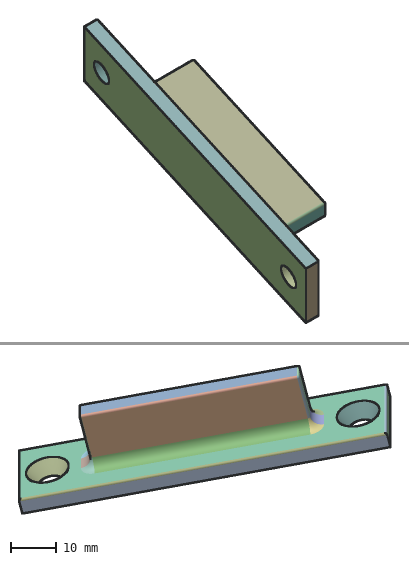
import cadquery as cq
import math

plate_length = 83.4
plate_height = 19.8
plate_thickness = 3.75

total_depth = 17.8
tongue_length = 49.9
tongue_thickness = 4.75

hole_diameter = 5.7
hole_back_diameter = 9.7
hole_spacing = 70.4

edge_radius = 0.5
root_radius = 2.6


def centred_block(length, depth, height):
    """Block centred in X and Z that starts at Y = 0 and extends along +Y."""
    return cq.Workplane("XY").box(length, depth, height, centered=(True, False, True))


def make_plate():
    """Plate with the rim of its tongue-side face rounded."""
    plate = centred_block(plate_length, plate_thickness, plate_height)
    return plate.faces(">Y").edges().fillet(edge_radius)


def make_tongue():
    """Tongue with its four long corners and its free end rounded."""
    tongue = centred_block(tongue_length, total_depth, tongue_thickness)
    return tongue.edges("|Y or >Y").fillet(edge_radius)


def blend_root(body):
    """Round the inner corner all the way around the foot of the tongue."""
    margin = edge_radius / 2
    foot_region = cq.selectors.BoxSelector(
        (-tongue_length / 2 - margin, plate_thickness - margin, -tongue_thickness / 2 - margin),
        (tongue_length / 2 + margin, plate_thickness + margin, tongue_thickness / 2 + margin),
    )
    return body.edges(foot_region).fillet(root_radius)


def make_holes():
    """Two tapered through-hole cutters, one near each end, widening toward the tongue side."""
    hole_centres = [(-hole_spacing / 2, 0), (hole_spacing / 2, 0)]
    taper_angle = math.degrees(math.atan2((hole_back_diameter - hole_diameter) / 2, plate_thickness))
    return (
        cq.Workplane("XZ")
        .pushPoints(hole_centres)
        .circle(hole_diameter / 2)
        .extrude(-plate_thickness, taper=-taper_angle)
    )


result = blend_root(make_plate().union(make_tongue())).cut(make_holes())